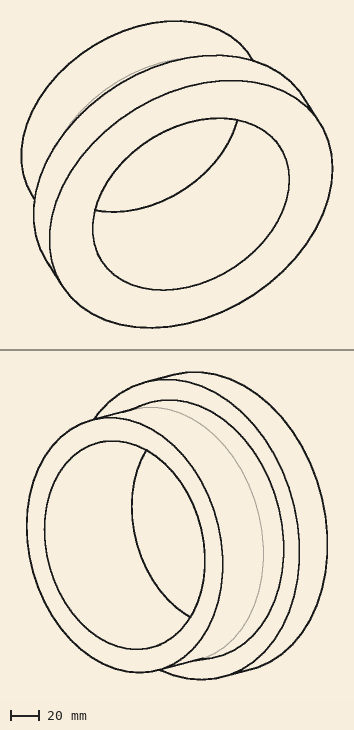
import cadquery as cq

total_length = 93.0
flange_length = 29.9
taper_length = 20.1
flange_diameter = 212.0
sleeve_diameter = 180.0
taper_end_diameter = 183.0
bore_diameter = 147.1

flange_start = total_length - flange_length
taper_start = flange_start - taper_length

half_section = (
    cq.Workplane("XY")
    .moveTo(0, bore_diameter / 2)
    .lineTo(0, sleeve_diameter / 2)
    .lineTo(taper_start, sleeve_diameter / 2)
    .lineTo(flange_start, taper_end_diameter / 2)
    .lineTo(flange_start, flange_diameter / 2)
    .lineTo(total_length, flange_diameter / 2)
    .lineTo(total_length, bore_diameter / 2)
    .close()
)

result = half_section.revolve(360, (0, 0, 0), (1, 0, 0))